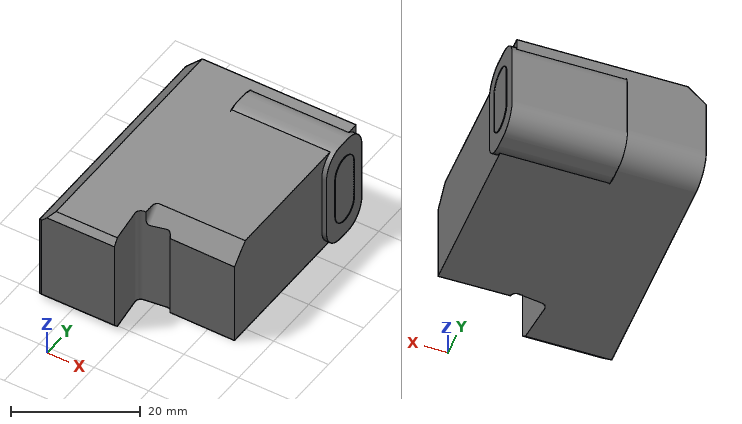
import cadquery as cq
import math

BLOCK_WIDTH = 31.15
BLOCK_DEPTH = 42.75
BLOCK_HEIGHT = 18.35
SIDE_CHAMFER = 3.0
FRONT_CHAMFER = 1.05
BACK_FILLET = 4.6

NOTCH_TILT = 7.0
NOTCH_MOUTH_X = 14.3
NOTCH_CORNER_Y = 8.25
NOTCH_FILLET = 1.0
RELIEF_START_X = 18.25
RELIEF_END_X = 19.25
SHOULDER_Y = 8.1
SHOULDER_END_Y = 8.0

BEVEL_TOP_Y = 11.1
BEVEL_LEFT_X = 14.7
BEVEL_FILLET = 0.75

INSERT_BACK_Y = 43.0
INSERT_START_X = 13.07
INSERT_LENGTH = 18.9
INSERT_WIDTH = 10.05
INSERT_HEIGHT = 19.05
INSERT_RADIUS = 4.0
BOSS_WIDTH = 5.4
BOSS_HEIGHT = 12.9
BOSS_LENGTH = 0.15

OVERCUT = 4.3
INSERT_CENTER_Y = INSERT_BACK_Y - INSERT_WIDTH / 2
INSERT_CENTER_Z = BLOCK_HEIGHT / 2


def rounded_bar(start_x, length, width, height, radius):
    """Bar along X with rounded corners, centred on the insert axis."""
    return (
        cq.Workplane("YZ", origin=(start_x, INSERT_CENTER_Y, INSERT_CENTER_Z))
        .rect(width, height)
        .extrude(length)
        .edges("|X")
        .fillet(radius)
    )


def make_insert():
    """Rounded bar with a low boss on its right end."""
    bar = rounded_bar(INSERT_START_X, INSERT_LENGTH, INSERT_WIDTH, INSERT_HEIGHT, INSERT_RADIUS)
    boss = (
        cq.Workplane("YZ", origin=(INSERT_START_X + INSERT_LENGTH, INSERT_CENTER_Y, INSERT_CENTER_Z))
        .slot2D(BOSS_HEIGHT, BOSS_WIDTH, 90)
        .extrude(BOSS_LENGTH)
    )
    return bar.union(boss)


def make_side_chamfer_cutter():
    """Wedge that removes the top left edge along the whole depth."""
    return (
        cq.Workplane("XZ")
        .polyline([
            (-OVERCUT, BLOCK_HEIGHT - SIDE_CHAMFER - OVERCUT),
            (SIDE_CHAMFER + OVERCUT, BLOCK_HEIGHT + OVERCUT),
            (-OVERCUT, BLOCK_HEIGHT + OVERCUT),
        ])
        .close()
        .extrude(-BLOCK_DEPTH)
    )


def make_blank():
    """Plain block with its edge chamfers and the rounded bottom back edge."""
    blank = cq.Workplane("XY").box(BLOCK_WIDTH, BLOCK_DEPTH, BLOCK_HEIGHT, centered=False)
    blank = blank.faces("<Y").edges("not >X").chamfer(FRONT_CHAMFER)
    blank = blank.edges(">Y and <Z").fillet(BACK_FILLET)
    return blank.cut(make_side_chamfer_cutter())


def make_notch_cutter():
    """Full-height cutter for the tilted notch, its relief and the shoulder face."""
    slope = math.tan(math.radians(NOTCH_TILT))
    corner_x = NOTCH_MOUTH_X - NOTCH_CORNER_Y * slope
    floor_end_y = NOTCH_CORNER_Y + (RELIEF_START_X - corner_x) * slope
    relief_width = RELIEF_END_X - RELIEF_START_X
    relief_depth = floor_end_y - SHOULDER_Y
    half_arc = math.sqrt(0.5)
    relief_middle = (
        RELIEF_START_X + relief_width * half_arc,
        SHOULDER_Y + relief_depth * half_arc,
    )
    right_x = BLOCK_WIDTH + OVERCUT
    return (
        cq.Workplane("XY", origin=(0, 0, -OVERCUT))
        .moveTo(NOTCH_MOUTH_X + OVERCUT * slope, -OVERCUT)
        .lineTo(corner_x, NOTCH_CORNER_Y)
        .lineTo(RELIEF_START_X, floor_end_y)
        .threePointArc(relief_middle, (RELIEF_END_X, SHOULDER_Y))
        .lineTo(BLOCK_WIDTH, SHOULDER_END_Y)
        .lineTo(right_x, SHOULDER_END_Y)
        .lineTo(right_x, -OVERCUT)
        .close()
        .extrude(BLOCK_HEIGHT + 2 * OVERCUT)
        .edges("|Z and <X")
        .fillet(NOTCH_FILLET)
    )


def make_bevel_cutter():
    """Wedge above the shoulder, with a rounded corner along its left wall."""
    top_y = BEVEL_TOP_Y + OVERCUT
    low_y = SHOULDER_END_Y - OVERCUT
    top_z = BLOCK_HEIGHT + OVERCUT
    low_z = BLOCK_HEIGHT - (BEVEL_TOP_Y - low_y)
    sloped_edge_middle = (BEVEL_LEFT_X, (top_y + low_y) / 2, (top_z + low_z) / 2)
    return (
        cq.Workplane("YZ", origin=(BEVEL_LEFT_X, 0, 0))
        .polyline([(top_y, top_z), (low_y, low_z), (low_y, top_z)])
        .close()
        .extrude(BLOCK_WIDTH + OVERCUT - BEVEL_LEFT_X)
        .edges(cq.NearestToPointSelector(sloped_edge_middle))
        .fillet(BEVEL_FILLET)
    )


def make_block():
    """Block with its notch, shoulder bevel and the recess that holds the insert."""
    recess = rounded_bar(
        INSERT_START_X, INSERT_LENGTH, INSERT_WIDTH, INSERT_HEIGHT, INSERT_RADIUS
    )
    return make_blank().cut(make_notch_cutter()).cut(make_bevel_cutter()).cut(recess)


block = make_block()
insert = make_insert()
result = cq.Compound.makeCompound([block.val(), insert.val()])